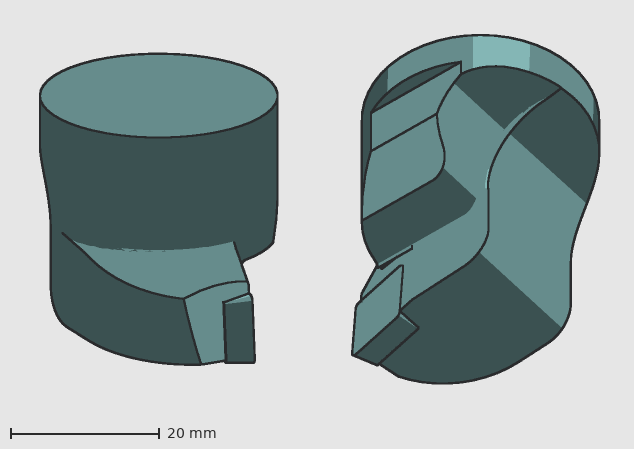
import cadquery as cq
import math

SHANK_DIA = 32.0
SHANK_RADIUS = SHANK_DIA / 2
REACH = 56.8

TILT = 5.0
SLOPE = math.tan(math.radians(TILT))
LEG_BACK_Y = 2.25
LEG_LEFT_X = -3.15
LEG_ARC_RADIUS = 10.45
LEG_ARC_END_Z = -16.62
LEG_FOOT_RADIUS = 4.77
LEG_FOOT_START_Z = -24.7

REAR_LEFT_X = -2.85
REAR_ARC_RADIUS = 10.4
REAR_ARC_END_Z = -16.2
REAR_BOTTOM_Z = -19.5
REAR_ROOT_RADIUS = 0.75
REAR_FLAT_Y = 14.0
REAR_STEP_Z = -5.0
REAR_BEVEL_END_Y = 9.92
REAR_BEVEL_ANGLE = 30.0

LOBE_RADIUS = 15.0
LOBE_CENTER_X = 6.1
CONE_CORNER_Z = -16.7
CONE_ROOT_RADIUS = 1.15
LOBE_EDGE_RADIUS = 0.45
FLANK_POINT = (19.65, -7.75, -30.98)
FLANK_ANGLE = 8.6

TIP = (21.95, 0.1, -32.08)
RAKE_ANGLE = 10.0
INSERT_ANGLE = 80.0
INSERT_SIDE = 9.65
INSERT_THICKNESS = 3.95
INSERT_CLEARANCE = 9.0
NOSE_RADIUS = 0.8


def unit(angle):
    """Unit vector at an angle in degrees."""
    return math.cos(math.radians(angle)), math.sin(math.radians(angle))


def block(x_range, y_range, z_range):
    """Axis-aligned box between the given limits."""
    size = [high - low for low, high in (x_range, y_range, z_range)]
    corner = (x_range[0], y_range[0], z_range[0])
    return cq.Workplane("XY").box(*size, centered=False).translate(corner)


def rake_plane():
    """Plane of the cutting face, with its origin at the insert tip and its normal outward."""
    cos_rake, sin_rake = unit(RAKE_ANGLE)
    return cq.Plane(origin=TIP, xDir=(-cos_rake, sin_rake, 0), normal=(sin_rake, cos_rake, 0))


def shank_cylinder():
    return cq.Workplane("XY").circle(SHANK_RADIUS).extrude(-REACH)


def leg_profile():
    """XZ outline of the leg, extruded through the whole part."""
    dx, dz = unit(90 - TILT)
    mid_x, mid_z = unit(45 - TILT / 2)
    arc_x = LEG_LEFT_X - LEG_ARC_RADIUS
    arc_start = (arc_x + LEG_ARC_RADIUS * dx, LEG_ARC_END_Z + LEG_ARC_RADIUS * dz)
    arc_mid = (arc_x + LEG_ARC_RADIUS * mid_x, LEG_ARC_END_Z + LEG_ARC_RADIUS * mid_z)
    foot_x = LEG_LEFT_X + LEG_FOOT_RADIUS
    foot_mid_x, foot_mid_z = unit(225 - TILT / 2)
    foot_mid = (foot_x + LEG_FOOT_RADIUS * foot_mid_x, LEG_FOOT_START_Z + LEG_FOOT_RADIUS * foot_mid_z)
    foot_end = (foot_x - LEG_FOOT_RADIUS * dx, LEG_FOOT_START_Z - LEG_FOOT_RADIUS * dz)
    return (
        cq.Workplane("XZ")
        .moveTo(-REACH, 0)
        .lineTo(-REACH, arc_start[1] + (arc_start[0] + REACH) * SLOPE)
        .lineTo(*arc_start)
        .threePointArc(arc_mid, (LEG_LEFT_X, LEG_ARC_END_Z))
        .lineTo(LEG_LEFT_X, LEG_FOOT_START_Z)
        .threePointArc(foot_mid, foot_end)
        .lineTo(REACH, foot_end[1] - (REACH - foot_end[0]) * SLOPE)
        .lineTo(REACH, 0)
        .close()
        .extrude(REACH, both=True)
    )


def lobe():
    """Overhang of the leg: round in plan, with a 45 degree conical shoulder."""
    tangent = CONE_ROOT_RADIUS * math.tan(math.radians(22.5))
    mid_step = CONE_ROOT_RADIUS * (1 - unit(22.5)[0])
    cone_step = tangent * unit(45)[0]
    root_top_z = CONE_CORNER_Z + tangent
    shoulder = (
        cq.Workplane("XZ")
        .moveTo(0, root_top_z)
        .lineTo(SHANK_RADIUS, root_top_z)
        .threePointArc(
            (SHANK_RADIUS + mid_step, root_top_z - CONE_ROOT_RADIUS * unit(22.5)[1]),
            (SHANK_RADIUS + cone_step, CONE_CORNER_Z - cone_step),
        )
        .lineTo(SHANK_RADIUS + REACH, CONE_CORNER_Z - REACH)
        .lineTo(0, CONE_CORNER_Z - REACH)
        .close()
        .revolve(360, (0, 0, 0), (0, 1, 0))
    )
    center_y = LOBE_RADIUS - SHANK_RADIUS
    dx, dy = unit(-45)
    plan = (
        cq.Workplane("XY")
        .moveTo(0, -SHANK_RADIUS)
        .lineTo(LOBE_CENTER_X, -SHANK_RADIUS)
        .threePointArc(
            (LOBE_CENTER_X + LOBE_RADIUS * dx, center_y + LOBE_RADIUS * dy),
            (LOBE_CENTER_X + LOBE_RADIUS, center_y),
        )
        .lineTo(LOBE_CENTER_X + LOBE_RADIUS, LEG_BACK_Y)
        .lineTo(0, LEG_BACK_Y)
        .close()
        .extrude(-REACH)
    )
    body = plan.intersect(shoulder).cut(rake_block())
    shoulder_edge = cq.selectors.NearestToPointSelector(on_shoulder_edge())
    return body.edges(shoulder_edge).fillet(LOBE_EDGE_RADIUS).cut(flank_block())


def on_shoulder_edge():
    """Point where the conical shoulder meets the cutting face plane, halfway along the overhang."""
    x = (SHANK_RADIUS + TIP[0]) / 2
    y = TIP[1] + (TIP[0] - x) * math.tan(math.radians(RAKE_ANGLE))
    return x, y, CONE_CORNER_Z - (math.hypot(x, y) - SHANK_RADIUS)


def rake_block():
    """Material in front of the cutting face."""
    return cq.Workplane(rake_plane()).rect(2 * REACH, 2 * REACH).extrude(REACH)


def flank_block():
    """Material outside the leaning end face of the lobe."""
    cos_flank, sin_flank = unit(FLANK_ANGLE)
    plane = cq.Plane(
        origin=FLANK_POINT, xDir=(sin_flank, cos_flank, 0), normal=(cos_flank, -sin_flank, SLOPE)
    )
    return cq.Workplane(plane).rect(2 * REACH, 2 * REACH).extrude(REACH)


def leg():
    below_rear = block((-REACH, REACH), (-REACH, REACH), (-REACH, REAR_BOTTOM_Z))
    stem = shank_cylinder().cut(rake_block().intersect(below_rear))
    behind_leg = block((-REACH, REACH), (LEG_BACK_Y, REACH), (-REACH, 0))
    return stem.union(lobe()).intersect(leg_profile()).cut(behind_leg)


def rear():
    """Part of the shank behind the leg, relieved from below."""
    mid = REAR_ARC_RADIUS * unit(45)[0]
    arc_x = REAR_LEFT_X - REAR_ARC_RADIUS
    nose_radius = REAR_ARC_END_Z - REAR_BOTTOM_Z
    nose_x = REAR_LEFT_X + nose_radius
    nose_mid = nose_radius * unit(45)[0]
    relief = (
        cq.Workplane("XZ", origin=(0, LEG_BACK_Y, 0))
        .moveTo(-REACH, REAR_ARC_END_Z + REAR_ARC_RADIUS)
        .lineTo(arc_x, REAR_ARC_END_Z + REAR_ARC_RADIUS)
        .threePointArc((arc_x + mid, REAR_ARC_END_Z + mid), (REAR_LEFT_X, REAR_ARC_END_Z))
        .threePointArc((nose_x - nose_mid, REAR_ARC_END_Z - nose_mid), (nose_x, REAR_BOTTOM_Z))
        .lineTo(REACH, REAR_BOTTOM_Z)
        .lineTo(REACH, -2 * REACH)
        .lineTo(-REACH, -2 * REACH)
        .close()
        .extrude(-REACH)
        .faces("<Y")
        .edges()
        .fillet(REAR_ROOT_RADIUS)
    )
    bevel_height = (REAR_FLAT_Y - REAR_BEVEL_END_Y) / math.tan(math.radians(REAR_BEVEL_ANGLE))
    end = (
        cq.Workplane("YZ", origin=(-REACH, 0, 0))
        .moveTo(LEG_BACK_Y, 0)
        .lineTo(LEG_BACK_Y, REAR_BOTTOM_Z - REAR_ROOT_RADIUS)
        .lineTo(LEG_BACK_Y + REAR_ROOT_RADIUS, REAR_BOTTOM_Z - REAR_ROOT_RADIUS)
        .lineTo(LEG_BACK_Y + REAR_ROOT_RADIUS, REAR_BOTTOM_Z)
        .lineTo(REAR_BEVEL_END_Y, REAR_BOTTOM_Z)
        .lineTo(REAR_FLAT_Y, REAR_BOTTOM_Z + bevel_height)
        .lineTo(REAR_FLAT_Y, REAR_STEP_Z)
        .lineTo(REACH, REAR_STEP_Z)
        .lineTo(REACH, 0)
        .close()
        .extrude(2 * REACH)
    )
    return shank_cylinder().intersect(end).cut(relief).intersect(leg_profile())


def cutting_insert():
    """Rhombic plate with rounded corners, narrowing away from the cutting face."""
    bottom_x, bottom_y = unit(TILT)
    side_x, side_y = unit(TILT + INSERT_ANGLE)
    bottom_corner = (INSERT_SIDE * bottom_x, INSERT_SIDE * bottom_y)
    side_corner = (INSERT_SIDE * side_x, INSERT_SIDE * side_y)
    far_corner = (bottom_corner[0] + side_corner[0], bottom_corner[1] + side_corner[1])
    outline = cq.Sketch().polygon([(0, 0), bottom_corner, far_corner, side_corner, (0, 0)])
    outline = outline.vertices().fillet(NOSE_RADIUS)
    plate = cq.Workplane(rake_plane()).placeSketch(outline)
    return plate.extrude(-INSERT_THICKNESS, taper=INSERT_CLEARANCE)


insert = cutting_insert()
holder = leg().union(rear()).cut(insert)

result = cq.Compound.makeCompound([holder.val(), insert.val()])